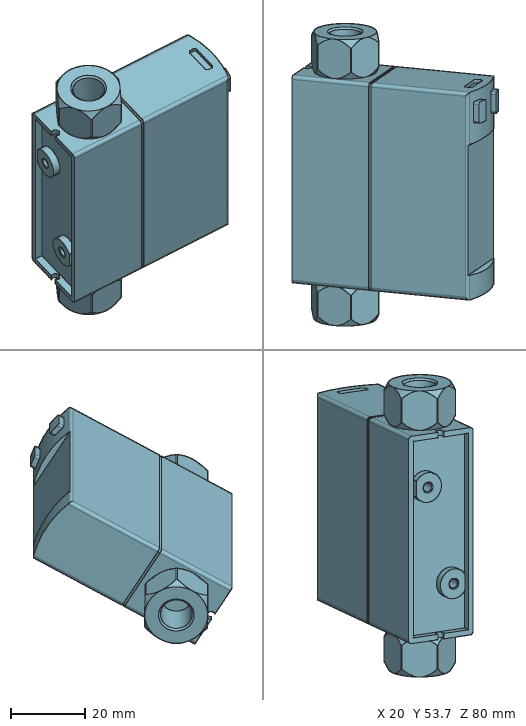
import cadquery as cq
import math


TOTAL_HEIGHT = 80.0

WIDTH = 20.0
HEIGHT = 58.0
BACK_Y = 52.4
BACK_RADIUS = 30.4
EDGE_RADIUS = 1.0

GROOVE_START_Y = 22.2
GROOVE_WIDTH = 0.6
GROOVE_DEPTH = 0.2

WALL = 1.5
POCKET_DEPTH = 2.2

BOSS_DIAMETER = 8.3
BOSS_OFFSET_X = 4.0
BOSS_OFFSET_Z = 14.0
BOSS_FLAT = 3.5
SCREW_HOLE_DIAMETER = 2.5
SCREW_HOLE_MOUTH = 3.0
SCREW_HOLE_DEPTH = 4.8

NOTCH_DIAMETER = 2.2
NOTCH_Y = 0.7

STEP_FLOOR_Y = 50.7
STEP_TOP_Z = 14.2
STEP_BOTTOM_Z = -22.0
STEP_FLARE = 0.5

TAB_TOP_Y = 53.7
TAB_INNER_X = 3.8
TAB_OUTER_X = 7.5
TAB_Z = 23.0
TAB_HEIGHT = 6.0
TAB_CORNER_RADIUS = 0.6

SLOT_LENGTH = 8.6
SLOT_WIDTH = 2.3
SLOT_Y = 48.6
SLOT_DEPTH = 1.0
SLOT_CORNER_RADIUS = 0.7

NUT_Y = 11.6
NUT_FLATS = 17.0
HALF_SIDE_ANGLE = 30.0
NUT_CORNER_DIAMETER = 19.4
NUT_HEIGHT = (TOTAL_HEIGHT - HEIGHT) / 2
NUT_CHAMFER_ANGLE = 60.0
NUT_BORE = 8.6
NUT_BORE_MOUTH = 9.6


def plan_prism(crown_y, radius):
    """Prism along Z with straight sides and a curved back."""
    corner_y = crown_y - radius + math.sqrt(radius**2 - (WIDTH / 2) ** 2)
    return (
        cq.Workplane("XY", origin=(0, 0, -HEIGHT / 2))
        .moveTo(-WIDTH / 2, 0)
        .lineTo(WIDTH / 2, 0)
        .lineTo(WIDTH / 2, corner_y)
        .threePointArc((0, crown_y), (-WIDTH / 2, corner_y))
        .close()
        .extrude(HEIGHT)
    )


def rounded_bar(width, height, corner_radius, start_y, length):
    """Bar along +Y with a rounded rectangular section."""
    return (
        cq.Workplane("XZ", origin=(0, start_y, 0))
        .rect(width, height)
        .extrude(-length)
        .edges("|Y")
        .fillet(corner_radius)
    )


def make_shell():
    plan = plan_prism(BACK_Y, BACK_RADIUS)
    plan = plan.edges("|Z").edges(">Y").fillet(EDGE_RADIUS)
    return plan.intersect(rounded_bar(WIDTH, HEIGHT, EDGE_RADIUS, 0, BACK_Y))


def make_groove():
    outside = (
        cq.Workplane("XZ", origin=(0, GROOVE_START_Y, 0))
        .rect(WIDTH + 2 * GROOVE_DEPTH, HEIGHT + 2 * GROOVE_DEPTH)
        .extrude(-GROOVE_WIDTH)
    )
    core = rounded_bar(
        WIDTH - 2 * GROOVE_DEPTH,
        HEIGHT - 2 * GROOVE_DEPTH,
        EDGE_RADIUS - GROOVE_DEPTH,
        GROOVE_START_Y,
        GROOVE_WIDTH,
    )
    return outside.cut(core)


def make_pocket():
    return (
        cq.Workplane("XZ")
        .rect(WIDTH - 2 * WALL, HEIGHT - 2 * WALL)
        .extrude(-POCKET_DEPTH)
    )


def make_boss(side):
    """Boss with one flat facing the near side wall; side is -1 or +1 along X."""
    x = side * BOSS_OFFSET_X
    z = -side * BOSS_OFFSET_Z
    boss = (
        cq.Workplane("XZ", origin=(x, POCKET_DEPTH, z))
        .circle(BOSS_DIAMETER / 2)
        .extrude(POCKET_DEPTH)
    )
    flat_span = (
        cq.Workplane("XZ", origin=(x + side * (BOSS_FLAT - BOSS_DIAMETER / 2), POCKET_DEPTH, z))
        .rect(BOSS_DIAMETER, BOSS_DIAMETER)
        .extrude(POCKET_DEPTH)
    )
    return boss.intersect(flat_span)


def make_screw_hole(side):
    """Blind hole with a chamfered mouth, on a boss axis."""
    mouth_chamfer = (SCREW_HOLE_MOUTH - SCREW_HOLE_DIAMETER) / 2
    origin = (side * BOSS_OFFSET_X, 0, -side * BOSS_OFFSET_Z)
    return (
        cq.Workplane("XY", origin=origin)
        .lineTo(SCREW_HOLE_MOUTH / 2, 0)
        .lineTo(SCREW_HOLE_DIAMETER / 2, mouth_chamfer)
        .lineTo(SCREW_HOLE_DIAMETER / 2, SCREW_HOLE_DEPTH)
        .lineTo(0, SCREW_HOLE_DEPTH)
        .close()
        .revolve(360, (0, 0), (0, 1))
    )


def make_notch(end):
    """Round notch through one end wall; end is -1 or +1 along Z."""
    return (
        cq.Workplane("XY", origin=(0, NOTCH_Y, end * HEIGHT / 2))
        .circle(NOTCH_DIAMETER / 2)
        .extrude(-end * WALL)
    )


def make_back_step():
    """Step across the full width, with flared ends."""
    return (
        cq.Workplane("YZ", origin=(-WIDTH / 2, 0, 0))
        .moveTo(STEP_FLOOR_Y, STEP_BOTTOM_Z)
        .lineTo(BACK_Y, STEP_BOTTOM_Z - STEP_FLARE)
        .lineTo(BACK_Y, STEP_TOP_Z + STEP_FLARE)
        .lineTo(STEP_FLOOR_Y, STEP_TOP_Z)
        .close()
        .extrude(WIDTH)
    )


def make_tab(side):
    """Round-cornered tab whose top follows the curve of the back."""
    arc_center_y = BACK_Y - BACK_RADIUS
    tab_radius = math.hypot(TAB_INNER_X, TAB_TOP_Y - arc_center_y)
    tab_crown_y = arc_center_y + tab_radius
    center_x = side * (TAB_INNER_X + TAB_OUTER_X) / 2
    post = (
        cq.Workplane("XZ", origin=(center_x, STEP_FLOOR_Y, TAB_Z))
        .rect(TAB_OUTER_X - TAB_INNER_X, TAB_HEIGHT)
        .extrude(STEP_FLOOR_Y - tab_crown_y)
        .edges("|Y")
        .fillet(TAB_CORNER_RADIUS)
    )
    return post.intersect(plan_prism(tab_crown_y, tab_radius))


def make_slot():
    return (
        cq.Workplane("XY", origin=(0, SLOT_Y, HEIGHT / 2))
        .rect(SLOT_LENGTH, SLOT_WIDTH)
        .extrude(-SLOT_DEPTH)
        .edges("|Z")
        .fillet(SLOT_CORNER_RADIUS)
    )


def make_housing():
    housing = make_shell().cut(make_groove()).cut(make_pocket()).cut(make_back_step()).cut(make_slot())
    for side in (-1, 1):
        housing = housing.union(make_boss(side)).union(make_tab(side))
        housing = housing.cut(make_screw_hole(side)).cut(make_notch(side))
    return housing


def make_nut(end):
    """Chamfered hexagon nut seated on one end face; end is -1 or +1 along Z."""
    across_corners = NUT_FLATS / math.cos(math.radians(HALF_SIDE_ANGLE))
    hexagon = (
        cq.Workplane("XY")
        .polygon(6, across_corners)
        .extrude(NUT_HEIGHT)
        .rotate((0, 0, 0), (0, 0, 1), HALF_SIDE_ANGLE)
    )
    chamfer_width = (NUT_CORNER_DIAMETER - NUT_FLATS) / 2
    chamfer_height = chamfer_width * math.tan(math.radians(NUT_CHAMFER_ANGLE))
    envelope = (
        cq.Workplane("XZ")
        .lineTo(NUT_FLATS / 2, 0)
        .lineTo(NUT_CORNER_DIAMETER / 2, chamfer_height)
        .lineTo(NUT_CORNER_DIAMETER / 2, NUT_HEIGHT - chamfer_height)
        .lineTo(NUT_FLATS / 2, NUT_HEIGHT)
        .lineTo(0, NUT_HEIGHT)
        .close()
        .revolve(360, (0, 0), (0, 1))
    )
    bore = cq.Workplane("XY").circle(NUT_BORE / 2).extrude(NUT_HEIGHT)
    mouth_chamfer = (NUT_BORE_MOUTH - NUT_BORE) / 2
    mouth = (
        cq.Workplane("XY", origin=(0, 0, NUT_HEIGHT))
        .circle(NUT_BORE_MOUTH / 2)
        .extrude(-mouth_chamfer, taper=45)
    )
    nut = hexagon.intersect(envelope).cut(bore).cut(mouth)
    if end < 0:
        nut = nut.rotate((0, 0, 0), (1, 0, 0), 180)
    return nut.translate((0, NUT_Y, end * HEIGHT / 2))


housing = make_housing()
nuts = [make_nut(end) for end in (-1, 1)]

result = cq.Compound.makeCompound([housing.solids().val(), *[nut.solids().val() for nut in nuts]])